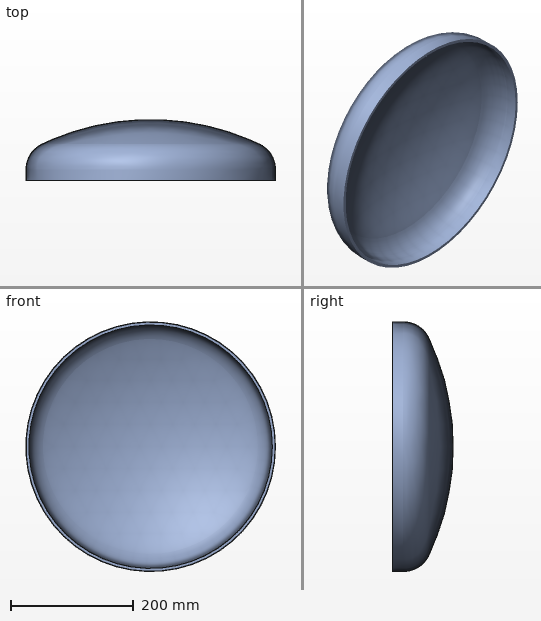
import cadquery as cq
import math

outer_diameter = 406.5
inner_diameter = 396.2
flange_length = 18.0
crown_radius = outer_diameter
knuckle_radius = outer_diameter / 10

wall = (outer_diameter - inner_diameter) / 2

knuckle_center_x = inner_diameter / 2 - knuckle_radius
center_distance = crown_radius - knuckle_radius
tangent_angle = math.acos(knuckle_center_x / center_distance)
crown_center_y = flange_length - center_distance * math.sin(tangent_angle)


def knuckle_point(radius, angle):
    """Point at the given angle on a knuckle arc of the given radius."""
    return (knuckle_center_x + radius * math.cos(angle), flange_length + radius * math.sin(angle))


def dished_solid(offset):
    """Solid head whose surface lies the given offset outside the inner surface."""
    rim_radius = inner_diameter / 2 + offset
    arc_radius = knuckle_radius + offset
    sphere_radius = crown_radius + offset
    arc_end = knuckle_point(arc_radius, tangent_angle)
    blank_top = crown_center_y + sphere_radius + wall

    blank = (
        cq.Workplane("XY")
        .lineTo(rim_radius, 0)
        .lineTo(rim_radius, flange_length)
        .threePointArc(knuckle_point(arc_radius, tangent_angle / 2), arc_end)
        .lineTo(arc_end[0], blank_top)
        .lineTo(0, blank_top)
        .close()
        .revolve(360, (0, 0, 0), (0, 1, 0))
    )

    crown = cq.Workplane("XY").sphere(sphere_radius).translate((0, crown_center_y, 0))
    return blank.intersect(crown)


result = dished_solid(wall).cut(dished_solid(0)).solids()